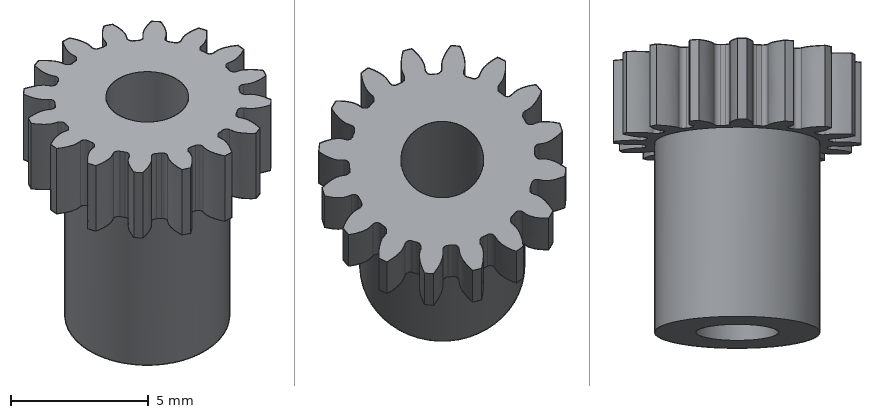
import cadquery as cq
import math

tooth_count = 16
module = 0.5
pressure_angle = math.radians(20)
dedendum_factor = 1.25
root_fillet = 0.2

total_height = 10.0
gear_width = 3.0
hub_diameter = 6.0
bore_diameter = 3.0

flank_point_count = 10
corner_tolerance = 0.001

pitch_radius = module * tooth_count / 2
tip_radius = pitch_radius + module
root_radius = pitch_radius - dedendum_factor * module
base_radius = pitch_radius * math.cos(pressure_angle)
tooth_pitch = 2 * math.pi / tooth_count
hub_height = total_height - gear_width


def polar(radius, angle):
    return (radius * math.cos(angle), radius * math.sin(angle))


def involute_angle(radius):
    """Polar angle swept by the involute from the base circle out to a radius."""
    if radius < base_radius:
        return 0.0
    roll = math.sqrt((radius / base_radius) ** 2 - 1)
    return roll - math.atan(roll)


def half_tooth_angle(radius):
    """Half of the angle that a tooth spans at a radius."""
    return tooth_pitch / 4 + involute_angle(pitch_radius) - involute_angle(radius)


def flank_points(center_angle, side):
    """Points up one tooth flank, from the root circle to the tip circle."""
    radial_step = (tip_radius - root_radius) / (flank_point_count - 1)
    radii = [root_radius + radial_step * i for i in range(flank_point_count)]
    return [polar(r, center_angle + side * half_tooth_angle(r)) for r in radii]


def is_root_corner(edge):
    center = edge.Center()
    return math.hypot(center.x, center.y) < root_radius + corner_tolerance


def make_gear():
    """Toothed disc with a space between two teeth centred on the X axis."""
    first_corner = polar(root_radius, tooth_pitch / 2 - half_tooth_angle(root_radius))
    outline = cq.Workplane("XY").moveTo(*first_corner)
    for tooth in range(tooth_count):
        center = (tooth + 0.5) * tooth_pitch
        rising = flank_points(center, -1)
        falling = flank_points(center, 1)[::-1]
        next_tooth_corner = flank_points(center + tooth_pitch, -1)[0]
        outline = (
            outline.spline(rising[1:], includeCurrent=True)
            .threePointArc(polar(tip_radius, center), falling[0])
            .spline(falling[1:], includeCurrent=True)
            .threePointArc(polar(root_radius, center + tooth_pitch / 2), next_tooth_corner)
        )
    blank = outline.close().extrude(gear_width)
    return blank.edges("|Z").filter(is_root_corner).fillet(root_fillet)


gear = make_gear().translate((0, 0, hub_height))
hub = cq.Workplane("XY").circle(hub_diameter / 2).extrude(hub_height)
bore = cq.Workplane("XY").circle(bore_diameter / 2).extrude(total_height)

result = gear.union(hub).cut(bore)